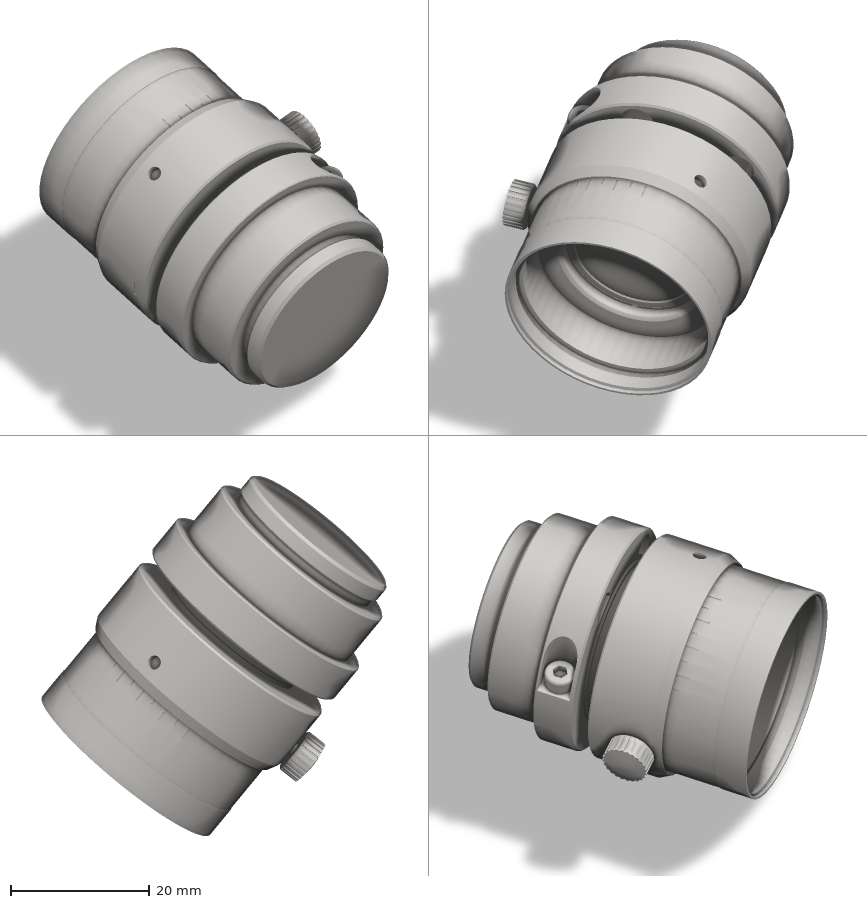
import cadquery as cq
import math

CUT_MARGIN = 1.0

LENGTH = 44.64
BODY_R = 17.0
RIM_R = 15.75
RIM_END = 4.8
BARREL_R = 15.65
IRIS_START = 12.95
IRIS_TAPER = 1.55
IRIS_FRONT_R = 16.2
IRIS_BORE_R = 16.0
IRIS_BORE_DEPTH = 1.0
IRIS_END = 24.25
EDGE_CHAMFER = 0.3
NECK_FRONT_R = 11.3
NECK_STEP = 24.85
NECK_CHAMFER = 0.2
NECK_R = 11.5
SPACER_START = 26.45
SPACER_R = 12.2
CLAMP_START = 26.8
CLAMP_END = 32.7
CLAMP_REAR_CHAMFER = 0.15
REAR_BODY_R = 15.0
REAR_BODY_END = 40.7
MOUNT_RELIEF_R = 12.2
MOUNT_START = 41.75
MOUNT_R = 12.7
MOUNT_CHAMFER = 0.45

ENTRY_R = 15.4
ENTRY_DEPTH = 0.6
FILTER_R = 15.0
FILTER_START = 0.75
FILTER_END = 2.9
RELIEF_R = 15.25
RELIEF_END = 3.9
HOOD_R = 14.25
HOOD_DEPTH = 10.4
SEAT_R = 11.07
SEAT_CHAMFER_R = 10.8
SEAT_CHAMFER_END = 10.6
RETAINER_OUTER_R = 10.6
RETAINER_START = 10.8
RETAINER_INNER_R = 10.15
RETAINER_FACE_X = 12.35
LENS_BEZEL_X = 12.4
LENS_BEZEL_R = 9.3
LENS_R = 9.2
LENS_EDGE_X = 12.7
LENS_APEX_X = 11.5
SPANNER_SLOT_W = 0.9
SPANNER_SLOT_DEPTH = 0.6

LOCK_X = 17.0
SPARE_HOLE_D = 2.05
SPARE_HOLE_ANGLES = (120, 240)
KNOB_D = 6.9
KNOB_BOTTOM = 17.4
KNOB_SHOULDER = 20.5
KNOB_TOP = 20.94
KNOB_CHAMFER = 0.25
KNOB_DOME_R = 3.2
KNURL_COUNT = 24
KNURL_WIDTH = 0.4
KNURL_DEPTH = 0.2
STEM_D = 2.0
STEM_ROOT = 16.0

SCREW_X = 29.85
SCREW_Y = 13.55
SCREW_SEAT_Z = 5.1
SCREW_HEAD_D = 4.5
SCREW_HEAD_H = 2.5
SCREW_HEAD_FILLET = 0.45
SCREW_POCKET_W = 5.0
HEX_FLATS = 2.0
HEX_DEPTH = 1.2
AXIAL_BORE_D = 4.8
AXIAL_BORE_DEPTH = 4.5
AXIAL_BORE_CENTRE_R = 13.65
CLAMP_CORE_R = 13.0
AXIAL_BORE_ANGLES = (72, 144)

MARK_WIDTH = 0.28
MARK_DEPTH = 0.1
TICK_COUNT = 8
TICK_FIRST_ANGLE = 39.8
TICK_PITCH = 8.0
TICK_SHORT = 1.0
TICK_LONG = 2.1
SCALE_STARTS = (TICK_FIRST_ANGLE, TICK_FIRST_ANGLE + 180)
INDEX_X = 22.3
INDEX_LENGTH = 3.0


def about_axis(shape, angle):
    """Turn a shape about X, from +Y towards +Z."""
    return shape.rotate((0, 0, 0), (1, 0, 0), angle)


def revolve_about_x(profile):
    return profile.close().revolve(360, (0, 0, 0), (1, 0, 0))


def y_cylinder(diameter, y_start, y_end):
    """Cylinder along Y through the lock screw position."""
    plane = cq.Plane(origin=(LOCK_X, y_start, 0), xDir=(1, 0, 0), normal=(0, 1, 0))
    return cq.Workplane(plane).circle(diameter / 2).extrude(y_end - y_start)


def make_outer_body():
    profile = cq.Workplane("XY").polyline([
        (0, 0),
        (0, RIM_R),
        (RIM_END, RIM_R),
        (RIM_END, BARREL_R),
        (IRIS_START + IRIS_BORE_DEPTH, BARREL_R),
        (IRIS_START + IRIS_BORE_DEPTH, IRIS_BORE_R),
        (IRIS_START, IRIS_BORE_R),
        (IRIS_START, IRIS_FRONT_R),
        (IRIS_START + IRIS_TAPER, BODY_R),
        (IRIS_END - EDGE_CHAMFER, BODY_R),
        (IRIS_END, BODY_R - EDGE_CHAMFER),
        (IRIS_END, NECK_FRONT_R),
        (NECK_STEP, NECK_FRONT_R),
        (NECK_STEP + NECK_CHAMFER, NECK_R),
        (SPACER_START, NECK_R),
        (SPACER_START, SPACER_R),
        (CLAMP_START, SPACER_R),
        (CLAMP_START, BODY_R - EDGE_CHAMFER),
        (CLAMP_START + EDGE_CHAMFER, BODY_R),
        (CLAMP_END - CLAMP_REAR_CHAMFER, BODY_R),
        (CLAMP_END, BODY_R - CLAMP_REAR_CHAMFER),
        (CLAMP_END, REAR_BODY_R),
        (REAR_BODY_END - EDGE_CHAMFER, REAR_BODY_R),
        (REAR_BODY_END, REAR_BODY_R - EDGE_CHAMFER),
        (REAR_BODY_END, MOUNT_RELIEF_R),
        (MOUNT_START, MOUNT_RELIEF_R),
        (MOUNT_START + MOUNT_CHAMFER, MOUNT_R),
        (LENGTH - MOUNT_CHAMFER, MOUNT_R),
        (LENGTH, MOUNT_R - MOUNT_CHAMFER),
        (LENGTH, 0),
    ])
    return revolve_about_x(profile)


def make_front_opening():
    """Filter recess, hood bore and retainer seat, ending on the domed front lens."""
    lens_sag = LENS_EDGE_X - LENS_APEX_X
    dome_r = (LENS_R**2 + lens_sag**2) / (2 * lens_sag)
    mid_r = LENS_R / 2
    mid_x = LENS_APEX_X + dome_r - math.sqrt(dome_r**2 - mid_r**2)
    profile = cq.Workplane("XY").polyline([
        (-CUT_MARGIN, 0),
        (-CUT_MARGIN, ENTRY_R),
        (ENTRY_DEPTH, ENTRY_R),
        (FILTER_START, FILTER_R),
        (FILTER_END, FILTER_R),
        (FILTER_END, RELIEF_R),
        (RELIEF_END, RELIEF_R),
        (RELIEF_END, HOOD_R),
        (HOOD_DEPTH, HOOD_R),
        (HOOD_DEPTH, SEAT_R),
        (SEAT_CHAMFER_END, SEAT_CHAMFER_R),
        (RETAINER_START, RETAINER_OUTER_R),
        (RETAINER_FACE_X, RETAINER_OUTER_R),
        (RETAINER_FACE_X, RETAINER_INNER_R),
        (LENS_BEZEL_X, RETAINER_INNER_R),
        (LENS_BEZEL_X, LENS_BEZEL_R),
        (LENS_EDGE_X, LENS_R),
    ]).threePointArc((mid_x, mid_r), (LENS_APEX_X, 0))
    return revolve_about_x(profile)


def cut_spanner_slots(body):
    """Two notches in the retainer face, above and below the axis."""
    height = RETAINER_OUTER_R - RETAINER_INNER_R
    slot = cq.Workplane("XY").box(SPANNER_SLOT_DEPTH, SPANNER_SLOT_W, height)
    centre_x = RETAINER_FACE_X + SPANNER_SLOT_DEPTH / 2
    centre_z = RETAINER_INNER_R + height / 2
    for side in (1, -1):
        body = body.cut(slot.translate((centre_x, 0, side * centre_z)))
    return body


def make_knob():
    """Knurled, domed lock knob on its stem, standing along +Y."""
    knob_r = KNOB_D / 2
    outline = (
        cq.Workplane("XY")
        .moveTo(0, KNOB_BOTTOM)
        .lineTo(knob_r - KNOB_CHAMFER, KNOB_BOTTOM)
        .lineTo(knob_r, KNOB_BOTTOM + KNOB_CHAMFER)
        .lineTo(knob_r, KNOB_SHOULDER)
        .lineTo(KNOB_DOME_R, KNOB_SHOULDER)
    )
    rise = KNOB_TOP - KNOB_SHOULDER
    dome_r = (KNOB_DOME_R**2 + rise**2) / (2 * rise)
    mid_r = KNOB_DOME_R / 2
    mid_y = KNOB_TOP - dome_r + math.sqrt(dome_r**2 - mid_r**2)
    knob = (
        outline.threePointArc((mid_r, mid_y), (0, KNOB_TOP))
        .close()
        .revolve(360, (0, 0, 0), (0, 1, 0))
    )
    height = KNOB_SHOULDER - KNOB_BOTTOM
    groove = cq.Workplane("XY").box(2 * KNURL_DEPTH, 2 * height, KNURL_WIDTH)
    groove = groove.translate((knob_r, KNOB_BOTTOM + height / 2, 0))
    for index in range(KNURL_COUNT):
        turn = index * 360 / KNURL_COUNT
        knob = knob.cut(groove.rotate((0, 0, 0), (0, 1, 0), turn))
    stem = y_cylinder(STEM_D, STEM_ROOT, KNOB_BOTTOM + KNOB_CHAMFER)
    return knob.translate((LOCK_X, 0, 0)).union(stem)


def cut_spare_holes(body):
    """Blind radial holes reaching down to the barrel radius."""
    hole = y_cylinder(SPARE_HOLE_D, BARREL_R, BODY_R + CUT_MARGIN)
    for angle in SPARE_HOLE_ANGLES:
        body = body.cut(about_axis(hole, angle))
    return body


def cut_axial_bores(body):
    """Blind bores along X in the clamp ring front face, stopping at the core inside the ring."""
    bore = (
        cq.Workplane("YZ", origin=(CLAMP_START, 0, 0))
        .center(AXIAL_BORE_CENTRE_R, 0)
        .circle(AXIAL_BORE_D / 2)
        .extrude(AXIAL_BORE_DEPTH)
    )
    core = cq.Workplane("YZ", origin=(CLAMP_START, 0, 0)).circle(CLAMP_CORE_R).extrude(AXIAL_BORE_DEPTH)
    bore = bore.cut(core)
    for angle in AXIAL_BORE_ANGLES:
        body = body.cut(about_axis(bore, angle))
    return body


def make_screw_pocket():
    """Round-ended slot over the clamp screw, open towards +Y and +Z."""
    seat = cq.Workplane("XY", origin=(SCREW_X, SCREW_Y, SCREW_SEAT_Z))
    round_end = seat.circle(SCREW_POCKET_W / 2).extrude(BODY_R)
    open_side = seat.rect(SCREW_POCKET_W, 2 * BODY_R).extrude(BODY_R)
    open_side = open_side.translate((0, BODY_R, 0))
    return round_end.union(open_side)


def make_screw_head():
    head = (
        cq.Workplane("XY", origin=(SCREW_X, SCREW_Y, SCREW_SEAT_Z))
        .circle(SCREW_HEAD_D / 2)
        .extrude(SCREW_HEAD_H)
        .faces(">Z")
        .edges()
        .fillet(SCREW_HEAD_FILLET)
    )
    hex_corners = HEX_FLATS / math.cos(math.pi / 6)
    return head.faces(">Z").workplane().polygon(6, hex_corners).cutBlind(-HEX_DEPTH)


def cut_scales(body):
    """Two aperture scales on the barrel, with short and long ticks in turn."""
    for start in SCALE_STARTS:
        for index in range(TICK_COUNT):
            length = TICK_LONG if index % 2 else TICK_SHORT
            tick = cq.Workplane("XY").box(length, 2 * MARK_DEPTH, MARK_WIDTH)
            tick = tick.translate((IRIS_START - length / 2, BARREL_R, 0))
            body = body.cut(about_axis(tick, start + index * TICK_PITCH))
    return body


def cut_index_line(body):
    """Index line across the -Y side of the iris ring, following its surface."""
    ring = (
        cq.Workplane("YZ", origin=(INDEX_X - MARK_WIDTH / 2, 0, 0))
        .circle(BODY_R + CUT_MARGIN)
        .circle(BODY_R - MARK_DEPTH)
        .extrude(MARK_WIDTH)
    )
    window = cq.Workplane("XY").box(2 * CUT_MARGIN, 2 * CUT_MARGIN, INDEX_LENGTH)
    return body.cut(ring.intersect(window.translate((INDEX_X, -BODY_R, 0))))


body = make_outer_body().cut(make_front_opening())
body = cut_spanner_slots(body)
body = cut_spare_holes(body)
body = cut_axial_bores(body)
body = cut_scales(body)
body = cut_index_line(body)
body = body.cut(make_screw_pocket()).union(make_screw_head())
result = body.union(make_knob())